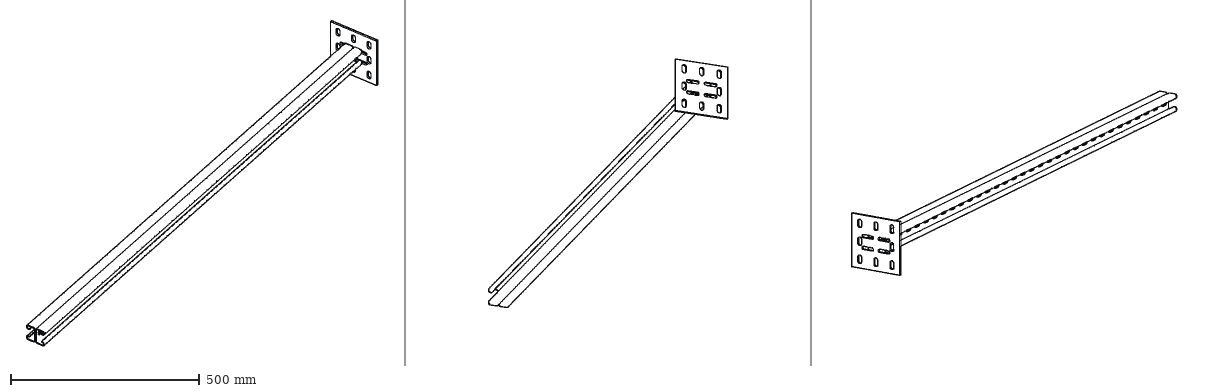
import cadquery as cq

total_length = 1491.0

plate_size = 149.0
plate_thickness = 6.0

bolt_slot_length = 24.0
bolt_slot_width = 12.0
bolt_slot_spread = 100.0
bolt_slot_pitch = bolt_slot_spread / 2

drain_slot_length = 36.0
drain_slot_width = 9.0
drain_slot_x = 25.0
drain_slot_z = 16.0

channel_length = total_length - plate_thickness
channel_height = 49.0
channel_pair_width = 57.0
channel_depth = channel_pair_width / 2
wall = 3.0
lip_height = 13.5
lip_length = 9.0
lip_radius = 5.2
back_radius = 6.7

web_slot_count = 33
web_slot_pitch = channel_length / web_slot_count
web_slot_length = 24.0
web_slot_width = 13.0


def make_plate():
    """Square head plate with its bolt slots and drain slots."""
    plate = cq.Workplane("XZ").rect(plate_size, plate_size).extrude(-plate_thickness)
    bolt_spots = [
        (column * bolt_slot_pitch, row * bolt_slot_pitch)
        for column in (-1, 0, 1)
        for row in (-1, 0, 1)
        if (column, row) != (0, 0)
    ]
    bolt_slots = (
        cq.Workplane("XZ")
        .pushPoints(bolt_spots)
        .slot2D(bolt_slot_length, bolt_slot_width, angle=90)
        .extrude(-plate_thickness)
    )
    drain_spots = [(sx * drain_slot_x, sz * drain_slot_z) for sx in (-1, 1) for sz in (-1, 1)]
    drain_slots = (
        cq.Workplane("XZ")
        .pushPoints(drain_spots)
        .slot2D(drain_slot_length, drain_slot_width)
        .extrude(-plate_thickness)
    )
    return plate.cut(bolt_slots).cut(drain_slots)


def round_corners(body, corners, radius):
    """Fillet the lengthwise edges that run through the given (x, z) corners and their mirror below."""
    for x, z in corners:
        for height in (z, -z):
            body = body.edges(cq.NearestToPointSelector((x, -channel_length / 2, height))).fillet(radius)
    return body


def make_channel(side):
    """Lipped channel with its web on x = 0 and its mouth facing side (-1 or +1) along X."""
    half_height = channel_height / 2
    half_mouth = half_height - lip_height
    front = side * channel_depth
    front_inside = side * (channel_depth - wall)
    lip_end = side * (channel_depth - lip_length)
    web_inside = side * wall

    back_corner = (0, half_height)
    front_corner = (front, half_height)
    lip_corner = (front, half_mouth)
    lip_tip_low = (lip_end, half_mouth)
    lip_tip_high = (lip_end, half_mouth + wall)
    lip_inner_corner = (front_inside, half_mouth + wall)
    front_inner_corner = (front_inside, half_height - wall)
    back_inner_corner = (web_inside, half_height - wall)
    upper = [
        back_corner,
        front_corner,
        lip_corner,
        lip_tip_low,
        lip_tip_high,
        lip_inner_corner,
        front_inner_corner,
        back_inner_corner,
    ]
    lower = [(x, -z) for x, z in reversed(upper)]
    channel = cq.Workplane("XZ").polyline(upper + lower).close().extrude(channel_length)

    channel = round_corners(channel, [front_corner, lip_corner], lip_radius)
    channel = round_corners(channel, [lip_inner_corner, front_inner_corner], lip_radius - wall)
    channel = round_corners(channel, [back_corner], back_radius)
    channel = round_corners(channel, [back_inner_corner], back_radius - wall)

    slot_spots = [(-(step + 0.5) * web_slot_pitch, 0) for step in range(web_slot_count)]
    web_slots = (
        cq.Workplane("YZ")
        .pushPoints(slot_spots)
        .slot2D(web_slot_length, web_slot_width)
        .extrude(web_inside)
    )
    return channel.cut(web_slots)


plate = make_plate()
channels = [make_channel(side) for side in (-1, 1)]

result = cq.Compound.makeCompound([plate.val(), *[channel.val() for channel in channels]])